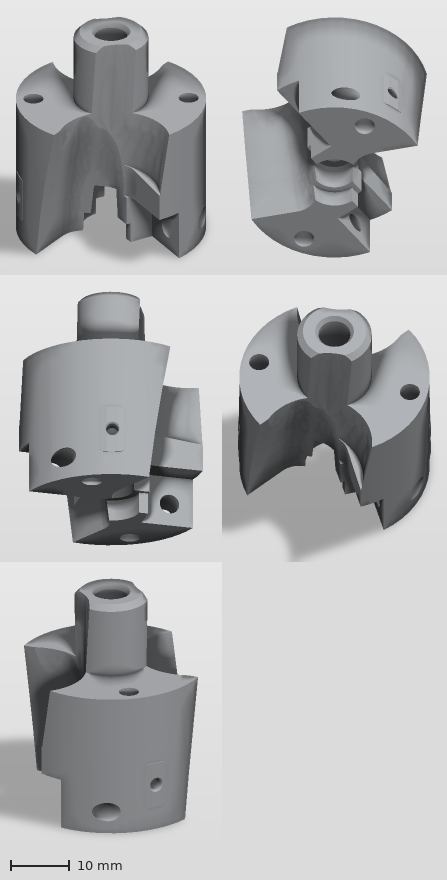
import cadquery as cq
import math


total_height = 37.87
body_height = 24.88
body_radius = 16.25
shank_radius = 6.35
shank_chamfer = 1.0
clearance = 0.38
far_out = 22.72

bore_radius = 2.73
bore_mouth_radius = 3.3
bore_mouth_depth = 0.8
lower_bore_steps = [(3.95, 9.3), (5.0, 3.67)]
nose_step_height = lower_bore_steps[1][1]

flute_radius = 9.55
flute_centre = (12.5, -6.8)
flute_split_angle = 152.0
flute_twist = 0.5941

lower_flat_end = (-1.2, -8.82)
lower_flat_slope = 0.47
lower_arc_mid = (-1.6, -6.63)
lower_arc_end = (-0.75, -4.43)
web_arc_mid = (1.25, -1.78)
web_arc_end = (4.5, -0.85)
lean_linear = 0.12
lean_quadratic = 0.002641

nose_y = web_arc_end[1]
land_fillet_start = 5.68
land_fillet_end = 7.9
land_inner_x = 4.92
land_back_y = 5.68
ledge_height_on_axis = 15.38
ledge_slope = 0.104

pocket_height = 8.9
pocket_inner_x = 6.6
pocket_wall_y = 4.25
hole_radius = 1.7
insert_screw_x = 11.55
insert_screw_z = 3.95
coolant_x = 6.6
coolant_y = 11.47

pad_angle = -105.0
pad_width = 3.98
pad_height = 8.15
pad_centre_z = 8.25
pad_crown_width = 1.9
pad_crown_radius = 16.4
pad_edge_radius = 16.17
pad_depth = 1.15
pad_corner_radius = 0.55
pad_screw_radius = 1.05
pad_screw_depth = 2.2
pad_screw_chamfer = 0.23


def both_sides(shape):
    """Return the shape together with its half-turn copy about Z."""
    return [shape, shape.rotate((0, 0, 0), (0, 0, 1), 180)]


def stock():
    body = cq.Workplane("XY").circle(body_radius).extrude(body_height)
    shank = cq.Workplane("XY").circle(shank_radius).extrude(total_height)
    return body.union(shank.faces(">Z").chamfer(shank_chamfer))


def axial_bore():
    bore = cq.Workplane("XY").circle(bore_radius).extrude(total_height)
    for radius, height in lower_bore_steps:
        bore = bore.union(cq.Workplane("XY").circle(radius).extrude(height))
    mouth = cq.Solid.makeCone(
        bore_radius,
        bore_mouth_radius,
        bore_mouth_depth,
        pnt=cq.Vector(0, 0, total_height - bore_mouth_depth),
    )
    return bore.union(cq.Workplane(mouth))


def flute_point(angle):
    """Point on the helical flute's circle at an angle in degrees."""
    turn = math.radians(angle)
    return (
        flute_centre[0] + flute_radius * math.cos(turn),
        flute_centre[1] + flute_radius * math.sin(turn),
    )


def helical_flute():
    height = total_height + 2 * clearance
    start_turn = -flute_twist * (body_height + clearance)
    inner_end, crest, outer_end, trough = [
        flute_point(flute_split_angle + quarter_turn) for quarter_turn in (0, 90, 180, 270)
    ]
    flute = (
        cq.Workplane("XY")
        .moveTo(*inner_end)
        .threePointArc(crest, outer_end)
        .threePointArc(trough, inner_end)
        .close()
        .twistExtrude(height, flute_twist * height)
    )
    return flute.rotate((0, 0, 0), (0, 0, 1), start_turn).translate((0, 0, -clearance))


def below_ledge():
    """Space on the +X side under the sloping upper ledge of the land."""
    return (
        cq.Workplane("XZ")
        .moveTo(0, -2 * clearance)
        .lineTo(far_out, -2 * clearance)
        .lineTo(far_out, ledge_height_on_axis - ledge_slope * far_out)
        .lineTo(0, ledge_height_on_axis)
        .close()
        .extrude(far_out, both=True)
    )


def land():
    """Material in front of the insert that the helical flute leaves standing."""
    rise = -nose_y
    run = land_fillet_end - land_fillet_start
    fillet_radius = (run ** 2 + rise ** 2) / (2 * rise)
    fillet_mid_angle = math.asin(run / fillet_radius) / 2
    fillet_mid = (
        land_fillet_end - fillet_radius * math.sin(fillet_mid_angle),
        -fillet_radius * (1 - math.cos(fillet_mid_angle)),
    )
    upper = (
        cq.Workplane("XY")
        .moveTo(land_inner_x, nose_y)
        .lineTo(land_fillet_start, nose_y)
        .threePointArc(fillet_mid, (land_fillet_end, 0))
        .lineTo(far_out, 0)
        .lineTo(far_out, land_back_y)
        .lineTo(land_inner_x, land_back_y)
        .close()
        .extrude(body_height)
    )
    nose = cq.Workplane("XY").box(
        pocket_inner_x - land_inner_x, -nose_y, pocket_height, centered=False
    ).translate((land_inner_x, nose_y, 0))
    return upper.intersect(below_ledge()).union(nose)


def land_relief():
    """Strip in front of the land that reaches out past the body radius."""
    strip = cq.Workplane("XY").box(
        far_out, -nose_y, body_height, centered=False
    ).translate((land_fillet_start, nose_y, 0))
    return strip.intersect(below_ledge())


def lower_flute():
    """Loft of one outline that shifts toward +X with height."""
    outer_y = -far_out
    outer_x = lower_flat_end[0] + lower_flat_slope * (lower_flat_end[1] - outer_y)
    wires = []
    for z in (-clearance, body_height / 2, body_height + clearance):
        lean = lean_linear * z + lean_quadratic * z ** 2
        outline = (
            cq.Workplane("XY", origin=(lean, 0, z))
            .moveTo(outer_x, outer_y)
            .lineTo(*lower_flat_end)
            .threePointArc(lower_arc_mid, lower_arc_end)
            .threePointArc(web_arc_mid, web_arc_end)
            .lineTo(far_out, nose_y)
            .lineTo(far_out, outer_y)
            .close()
        )
        wires.append(outline.val())
    return cq.Workplane(cq.Solid.makeLoft(wires))


def insert_pocket():
    seat = cq.Workplane("XY").box(
        far_out, far_out, pocket_height, centered=False
    ).translate((pocket_inner_x, pocket_wall_y - far_out, 0))
    nose_step = cq.Workplane("XY").box(
        pocket_inner_x, -nose_y, nose_step_height, centered=False
    ).translate((0, nose_y, 0))
    return seat.union(nose_step)


def fixing_holes():
    insert_screw = (
        cq.Workplane("XZ")
        .center(insert_screw_x, insert_screw_z)
        .circle(hole_radius)
        .extrude(-far_out)
    )
    coolant = cq.Workplane("XY").center(coolant_x, coolant_y).circle(hole_radius).extrude(body_height)
    return insert_screw.union(coolant)


def guide_pad():
    """Pad built pointing along +X, then turned to its place."""
    half_width = pad_width / 2
    half_crown = pad_crown_width / 2
    inner_radius = pad_crown_radius - pad_depth
    pad = (
        cq.Workplane("XY")
        .moveTo(inner_radius, -half_width)
        .lineTo(pad_edge_radius, -half_width)
        .lineTo(pad_crown_radius, -half_crown)
        .lineTo(pad_crown_radius, half_crown)
        .lineTo(pad_edge_radius, half_width)
        .lineTo(inner_radius, half_width)
        .close()
        .extrude(pad_height)
        .translate((0, 0, pad_centre_z - pad_height / 2))
    )
    rounded = (
        cq.Workplane("YZ")
        .center(0, pad_centre_z)
        .rect(pad_width, pad_height)
        .extrude(far_out)
        .edges("|X")
        .fillet(pad_corner_radius)
    )
    return pad.intersect(rounded).rotate((0, 0, 0), (0, 0, 1), pad_angle)


def pad_screw_hole():
    bottom = pad_crown_radius - pad_screw_depth
    mouth_radius = pad_screw_radius + pad_screw_chamfer
    hole = (
        cq.Workplane("XZ")
        .moveTo(bottom, 0)
        .lineTo(bottom, pad_screw_radius)
        .lineTo(pad_crown_radius - pad_screw_chamfer, pad_screw_radius)
        .lineTo(pad_crown_radius, mouth_radius)
        .lineTo(pad_crown_radius, 0)
        .close()
        .revolve(360, (0, 0, 0), (1, 0, 0))
    )
    return hole.translate((0, 0, pad_centre_z)).rotate((0, 0, 0), (0, 0, 1), pad_angle)


result = stock()
cutters = [
    helical_flute().union(land_relief()).cut(land()),
    lower_flute(),
    insert_pocket(),
    fixing_holes(),
]
for cutter in cutters:
    for side in both_sides(cutter):
        result = result.cut(side)
for side in both_sides(guide_pad()):
    result = result.union(side)
for side in both_sides(pad_screw_hole()):
    result = result.cut(side)
result = result.cut(axial_bore())